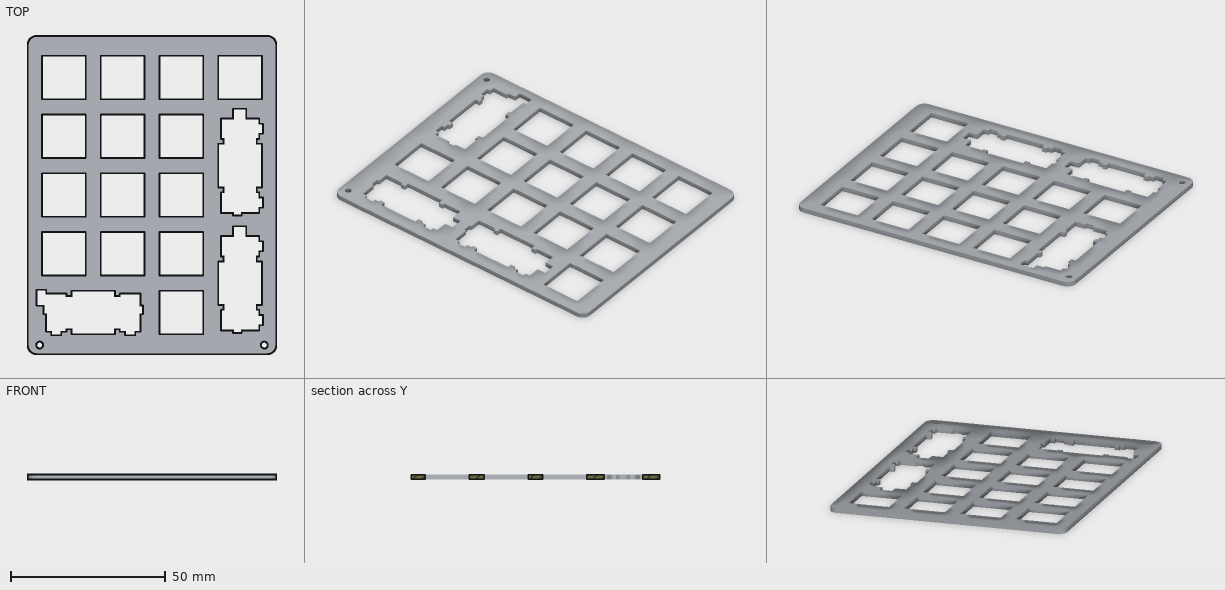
import cadquery as cq

width = 80.6
length = 103.2
thickness = 1.7
corner_radius = 3.0

columns = 4
rows = 5
switch_size = 14.0
edge_margin = 6.5
pitch = (length - switch_size - 2 * edge_margin) / (rows - 1)

hole_diameter = 2.2
hole_side_inset = 3.9
hole_front_inset = 3.0

stem_spacing = 23.9
housing_width = 6.6
housing_depth = 12.3
bridge_depth = 10.7
clip_width = 3.2
clip_reach = 7.3
wire_reach = 16.1
wire_back = 2.3
wire_front = -0.5

exit_reach = 18.4
upright_exit_front = -2.0
flat_exit_back = 7.3

housing_end = stem_spacing / 2 + housing_width / 2


def key_center(column, row):
    """Centre of a grid cell; columns count from the left, rows from the back. Halves lie between cells."""
    x = (column - (columns - 1) / 2) * pitch
    y = ((rows - 1) / 2 - row) * pitch
    return x, y


def block(x_min, x_max, y_min, y_max):
    """Cutter as thick as the plate, spanning the given rectangle."""
    return (
        cq.Workplane("XY")
        .box(x_max - x_min, y_max - y_min, thickness, centered=False)
        .translate((x_min, y_min, 0))
    )


def centered_block(size_x, size_y):
    return block(-size_x / 2, size_x / 2, -size_y / 2, size_y / 2)


def wide_key_cutter():
    """Switch and stabilizer opening for a wide key lying along X, centred on the origin."""
    cutter = centered_block(switch_size, switch_size)
    cutter = cutter.union(centered_block(stem_spacing, bridge_depth))
    cutter = cutter.union(block(-wire_reach, wire_reach, wire_front, wire_back))
    for stem_x in (-stem_spacing / 2, stem_spacing / 2):
        housing = centered_block(housing_width, housing_depth)
        clip_slot = block(-clip_width / 2, clip_width / 2, -clip_reach, 0)
        cutter = cutter.union(housing.union(clip_slot).translate((stem_x, 0, 0)))
    return cutter


def place(cutter, column, row):
    x, y = key_center(column, row)
    return cutter.translate((x, y, 0))


plate = (
    cq.Workplane("XY")
    .box(width, length, thickness, centered=(True, True, False))
    .edges("|Z")
    .fillet(corner_radius)
)

single_keys = [(column, row) for row in range(rows - 1) for column in range(columns - 1)]
single_keys += [(columns - 1, 0), (columns - 2, rows - 1)]
for column, row in single_keys:
    plate = plate.cut(place(centered_block(switch_size, switch_size), column, row))

upright_exit = block(housing_end, exit_reach, upright_exit_front, wire_back)
upright_key = wide_key_cutter().union(upright_exit).rotate((0, 0, 0), (0, 0, 1), 90)
for row in (1.5, 3.5):
    plate = plate.cut(place(upright_key, columns - 1, row))

flat_exit = block(-exit_reach, -housing_end, wire_back, flat_exit_back)
flat_key = wide_key_cutter().union(flat_exit)
plate = plate.cut(place(flat_key, 0.5, rows - 1))

hole_x = width / 2 - hole_side_inset
hole_y = -length / 2 + hole_front_inset
holes = (
    cq.Workplane("XY")
    .pushPoints([(-hole_x, hole_y), (hole_x, hole_y)])
    .circle(hole_diameter / 2)
    .extrude(thickness)
)

result = plate.cut(holes)